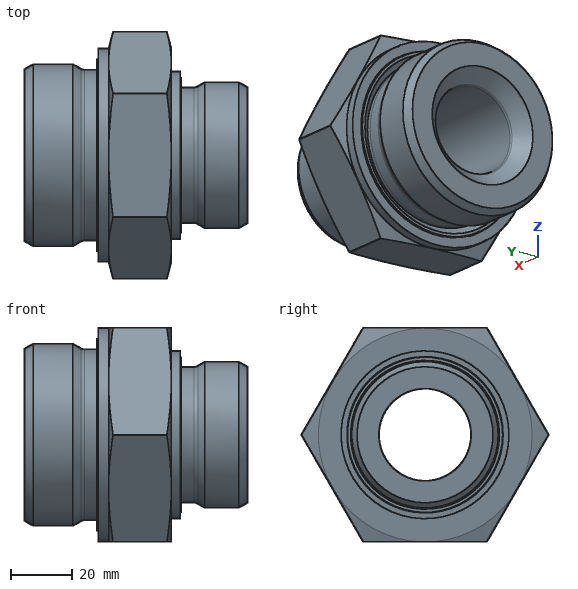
import cadquery as cq
import math

TOTAL_LENGTH = 73.0
LARGE_FACE_X = 24.1
HEX_START_X = 27.5
HEX_END_X = 48.0
SMALL_FACE_X = 51.0

LARGE_THREAD_DIAMETER = 59.6
LARGE_NECK_DIAMETER = 55.9
LARGE_FLANGE_DIAMETER = 69.8
LARGE_THREAD_END_X = 15.8

SMALL_THREAD_DIAMETER = 47.8
SMALL_NECK_DIAMETER = 44.4
SMALL_FLANGE_DIAMETER = 54.8
SMALL_THREAD_START_X = 59.0

END_CHAMFER_LENGTH = 3.0
END_CHAMFER_DEPTH = 1.7
UNDERCUT_ANGLE = 30.0
UNDERCUT_FILLET = 2.4

HEX_ACROSS_FLATS = 70.0
HEX_TURNED_DIAMETER = 80.7
HEX_CHAMFER_ANGLE = 15.0
HEX_FACE_DIAMETER = LARGE_FLANGE_DIAMETER

BORE_DIAMETER = 30.0
BORE_MOUTH_DIAMETER = 40.4
BORE_CONE_LENGTH = 5.3
BORE_EDGE_RADIUS = 1.05

LARGE_SEAL_HOLE_DIAMETER = 56.1
SMALL_SEAL_HOLE_DIAMETER = 44.7
LARGE_SEAL_DIAMETER = 62.7
SMALL_SEAL_DIAMETER = 50.7
LARGE_GROOVE_DIAMETER = 63.05
SMALL_GROOVE_DIAMETER = 51.0
LARGE_SEAL_PROTRUSION = 0.5
SMALL_SEAL_PROTRUSION = 0.3
SEAL_LIP_WIDTH = 1.05
SEAL_SLOPE_ANGLE = 38.0
GROOVE_DEPTH = 2.4


def cylinder(diameter, start_x, end_x):
    """Solid cylinder on the X axis."""
    return cq.Workplane("YZ", origin=(start_x, 0, 0)).circle(diameter / 2).extrude(end_x - start_x)


def ring(inner_diameter, outer_diameter, start_x, end_x):
    """Flat ring on the X axis."""
    return cylinder(outer_diameter, start_x, end_x).cut(cylinder(inner_diameter, start_x, end_x))


def revolve_about_x(outline):
    """Turn a closed XY outline about the X axis."""
    return outline.revolve(360, (0, 0, 0), (1, 0, 0))


def stud(thread_diameter, neck_diameter, thread_length, length):
    """Threaded stud from X = 0: chamfered end, plain thread body, undercut cone and neck."""
    thread_radius = thread_diameter / 2
    neck_radius = neck_diameter / 2
    angle = math.radians(UNDERCUT_ANGLE)
    cone_end_x = thread_length + (thread_radius - neck_radius) / math.tan(angle)
    tangent = UNDERCUT_FILLET * math.tan(angle / 2)
    arc_start = (cone_end_x - tangent * math.cos(angle), neck_radius + tangent * math.sin(angle))
    arc_end_x = cone_end_x + tangent
    arc_middle = (
        arc_end_x - UNDERCUT_FILLET * math.sin(angle / 2),
        neck_radius + UNDERCUT_FILLET * (1 - math.cos(angle / 2)),
    )
    outline = (
        cq.Workplane("XY")
        .lineTo(0, thread_radius - END_CHAMFER_DEPTH)
        .lineTo(END_CHAMFER_LENGTH, thread_radius)
        .lineTo(thread_length, thread_radius)
        .lineTo(*arc_start)
        .threePointArc(arc_middle, (arc_end_x, neck_radius))
        .lineTo(length, neck_radius)
        .lineTo(length, 0)
        .close()
    )
    return revolve_about_x(outline)


def hexagon():
    """Hexagon with its corners turned down to a shallow cone at both ends."""
    face_radius = HEX_FACE_DIAMETER / 2
    corner_radius = HEX_TURNED_DIAMETER / 2
    chamfer_length = (corner_radius - face_radius) * math.tan(math.radians(HEX_CHAMFER_ANGLE))
    prism = (
        cq.Workplane("YZ", origin=(HEX_START_X, 0, 0))
        .polygon(6, HEX_ACROSS_FLATS / math.cos(math.pi / 6))
        .extrude(HEX_END_X - HEX_START_X)
    )
    envelope = revolve_about_x(
        cq.Workplane("XY")
        .moveTo(HEX_START_X, 0)
        .lineTo(HEX_START_X, face_radius)
        .lineTo(HEX_START_X + chamfer_length, corner_radius)
        .lineTo(HEX_END_X - chamfer_length, corner_radius)
        .lineTo(HEX_END_X, face_radius)
        .lineTo(HEX_END_X, 0)
        .close()
    )
    return prism.intersect(envelope)


def bore():
    """Through bore with a conical mouth at the large stud and a rounded edge below the mouth."""
    bore_radius = BORE_DIAMETER / 2
    mouth_radius = BORE_MOUTH_DIAMETER / 2
    angle = math.atan2(mouth_radius - bore_radius, BORE_CONE_LENGTH)
    tangent = BORE_EDGE_RADIUS * math.tan(angle / 2)
    arc_start = (
        BORE_CONE_LENGTH - tangent * math.cos(angle),
        bore_radius + tangent * math.sin(angle),
    )
    arc_end_x = BORE_CONE_LENGTH + tangent
    arc_middle = (
        arc_end_x - BORE_EDGE_RADIUS * math.sin(angle / 2),
        bore_radius + BORE_EDGE_RADIUS * (1 - math.cos(angle / 2)),
    )
    return revolve_about_x(
        cq.Workplane("XY")
        .lineTo(0, mouth_radius)
        .lineTo(*arc_start)
        .threePointArc(arc_middle, (arc_end_x, bore_radius))
        .lineTo(TOTAL_LENGTH, bore_radius)
        .lineTo(TOTAL_LENGTH, 0)
        .close()
    )


def seal(inner_diameter, outer_diameter, floor_x, face_x):
    """Seal ring from the groove floor to its exposed face, sloping from a narrow lip to its hole."""
    inner_radius = inner_diameter / 2
    outer_radius = outer_diameter / 2
    lip_radius = outer_radius - SEAL_LIP_WIDTH
    slope_depth = (lip_radius - inner_radius) * math.tan(math.radians(SEAL_SLOPE_ANGLE))
    slope_end_x = face_x + math.copysign(slope_depth, floor_x - face_x)
    return revolve_about_x(
        cq.Workplane("XY")
        .moveTo(floor_x, inner_radius)
        .lineTo(floor_x, outer_radius)
        .lineTo(face_x, outer_radius)
        .lineTo(face_x, lip_radius)
        .lineTo(slope_end_x, inner_radius)
        .close()
    )


large_groove_end_x = LARGE_FACE_X + GROOVE_DEPTH
small_groove_start_x = SMALL_FACE_X - GROOVE_DEPTH

large_stud = stud(LARGE_THREAD_DIAMETER, LARGE_NECK_DIAMETER, LARGE_THREAD_END_X, HEX_START_X)
small_stud = (
    stud(
        SMALL_THREAD_DIAMETER,
        SMALL_NECK_DIAMETER,
        TOTAL_LENGTH - SMALL_THREAD_START_X,
        TOTAL_LENGTH - HEX_END_X,
    )
    .mirror("YZ")
    .translate((TOTAL_LENGTH, 0, 0))
)
fitting = (
    hexagon()
    .union(cylinder(LARGE_FLANGE_DIAMETER, LARGE_FACE_X, HEX_START_X))
    .union(cylinder(SMALL_FLANGE_DIAMETER, HEX_END_X, SMALL_FACE_X))
    .cut(ring(LARGE_NECK_DIAMETER, LARGE_GROOVE_DIAMETER, LARGE_FACE_X, large_groove_end_x))
    .cut(ring(SMALL_NECK_DIAMETER, SMALL_GROOVE_DIAMETER, small_groove_start_x, SMALL_FACE_X))
    .union(large_stud)
    .union(small_stud)
    .cut(bore())
)

large_seal = seal(
    LARGE_SEAL_HOLE_DIAMETER,
    LARGE_SEAL_DIAMETER,
    large_groove_end_x,
    LARGE_FACE_X - LARGE_SEAL_PROTRUSION,
)
small_seal = seal(
    SMALL_SEAL_HOLE_DIAMETER,
    SMALL_SEAL_DIAMETER,
    small_groove_start_x,
    SMALL_FACE_X + SMALL_SEAL_PROTRUSION,
)

result = cq.Compound.makeCompound([fitting.val(), large_seal.val(), small_seal.val()])